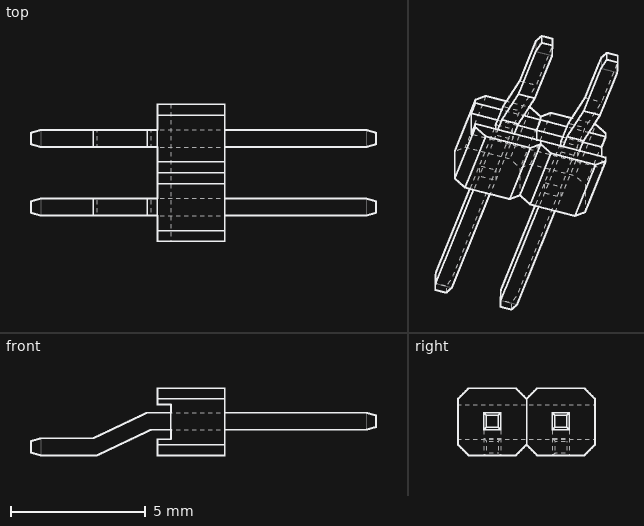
import cadquery as cq
import math

PITCH = 2.54
POSITIONS = 2

HOUSING_LENGTH = 2.5
HOUSING_HEIGHT = 2.5
HOUSING_CHAMFER = 0.4
RECESS_DEPTH = 0.5
RECESS_HEIGHT = 1.28

PIN_SIZE = 0.64
PIN_AXIS_HEIGHT = 1.27
PIN_LENGTH = 12.8
TAIL_REACH = 4.69
TAIL_FLAT_LENGTH = 2.38
BEND_RUN = 2.0
TIP_LENGTH = 0.37
TIP_SIZE = 0.43

HOUSING_FRONT = -HOUSING_LENGTH / 2
TAIL_END = HOUSING_FRONT - TAIL_REACH
PIN_END = TAIL_END + PIN_LENGTH
LOWER_BEND = TAIL_END + TAIL_FLAT_LENGTH
UPPER_BEND = LOWER_BEND + BEND_RUN

TAIL_AXIS_HEIGHT = PIN_SIZE / 2


def pin_tip(base_x, axis_height, direction):
    """Tapered square tip that starts at base_x and points along +X or -X."""
    base = cq.Plane(origin=(base_x, 0, axis_height), xDir=(0, 1, 0), normal=(direction, 0, 0))
    return (
        cq.Workplane(base)
        .rect(PIN_SIZE, PIN_SIZE)
        .workplane(offset=TIP_LENGTH)
        .rect(TIP_SIZE, TIP_SIZE)
        .loft(ruled=True)
    )


def make_pin(y):
    """Joggled square pin with mitred bends and a tapered tip at each end."""
    half = PIN_SIZE / 2
    bend_angle = math.atan2(PIN_AXIS_HEIGHT - TAIL_AXIS_HEIGHT, BEND_RUN)
    miter = half * math.tan(bend_angle / 2)
    tail_base = TAIL_END + TIP_LENGTH
    pin_base = PIN_END - TIP_LENGTH
    side_profile = [
        (tail_base, TAIL_AXIS_HEIGHT - half),
        (LOWER_BEND + miter, TAIL_AXIS_HEIGHT - half),
        (UPPER_BEND + miter, PIN_AXIS_HEIGHT - half),
        (pin_base, PIN_AXIS_HEIGHT - half),
        (pin_base, PIN_AXIS_HEIGHT + half),
        (UPPER_BEND - miter, PIN_AXIS_HEIGHT + half),
        (LOWER_BEND - miter, TAIL_AXIS_HEIGHT + half),
        (tail_base, TAIL_AXIS_HEIGHT + half),
    ]
    shank = cq.Workplane("XZ").polyline(side_profile).close().extrude(half, both=True)
    return (
        shank
        .union(pin_tip(tail_base, TAIL_AXIS_HEIGHT, -1))
        .union(pin_tip(pin_base, PIN_AXIS_HEIGHT, 1))
        .translate((0, y, 0))
    )


def make_housing(y, pin):
    """Chamfered block with a recess across its front face and a hole that fits the pin."""
    block = (
        cq.Workplane("XY")
        .box(HOUSING_LENGTH, PITCH, HOUSING_HEIGHT)
        .edges("|X")
        .chamfer(HOUSING_CHAMFER)
    )
    recess = (
        cq.Workplane("XY")
        .box(RECESS_DEPTH, PITCH, RECESS_HEIGHT)
        .translate((HOUSING_FRONT + RECESS_DEPTH / 2, 0, 0))
    )
    return block.cut(recess).translate((0, y, HOUSING_HEIGHT / 2)).cut(pin)


bodies = []
for position in range(POSITIONS):
    row_y = (position - (POSITIONS - 1) / 2) * PITCH
    contact_pin = make_pin(row_y)
    housing = make_housing(row_y, contact_pin)
    bodies += [housing.val(), contact_pin.val()]

result = cq.Compound.makeCompound(bodies)